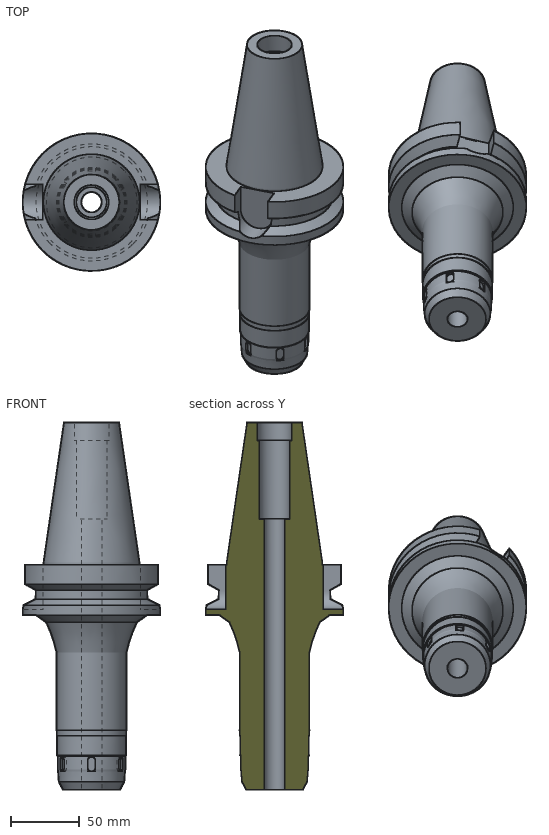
import cadquery as cq
import math


TAPER_TOP = 101.8
GAUGE_RADIUS = 34.925
TAPER_SLOPE = 7 / 48
TAPER_TOP_RADIUS = GAUGE_RADIUS - TAPER_SLOPE * TAPER_TOP

FLANGE_TOP = -1.5
FLANGE_BOTTOM = -38.0
FLANGE_RADIUS = 50.0
GROOVE_FLOOR_RADIUS = 42.5
GROOVE_CENTRE = -23.2
GROOVE_FLOOR_WIDTH = 6.5
GROOVE_SIDE_ANGLE = 30.0

NECK_TOP_RADIUS = 40.5
NECK_SHOULDER_RADIUS = 33.0
NECK_SHOULDER_Z = -43.3
NECK_BOTTOM = -65.2
NECK_ARC_SAG = 0.7

BODY_RADIUS = 25.5
BODY_BOTTOM = -121.5
BAND_RADIUS = 25.4
BAND_BOTTOM = -125.5
COLLAR_RADIUS = 25.2
COLLAR_BOTTOM = -139.7
NUT_RADIUS = 24.7
NUT_STEP_BOTTOM = -140.4
NUT_BAND_BOTTOM = -150.0
NOSE_TOP_RADIUS = 24.4
NOSE_TOP = -151.5
NOSE_CHAMFER_TOP = -158.9
NOSE_CHAMFER_RADIUS = 23.9
NOSE_BOTTOM_RADIUS = 20.7
NOSE_BOTTOM = -165.0

KEYWAY_WIDTH = 25.7
KEYWAY_FLOOR_X = 35.5
KEYWAY_BOTTOM = -33.8

SLOT_COUNT = 6
SLOT_WIDTH = 5.6
SLOT_TOP = -141.0
SLOT_BOTTOM = NOSE_TOP
SLOT_FLOOR_RADIUS = 22.9

COUNTERBORE_RADIUS = 12.5
COUNTERBORE_DEPTH = 13.0
DRAWBAR_BORE_RADIUS = 11.0
DRAWBAR_BORE_DEPTH = 70.0
THROUGH_RADIUS = 7.3


def neck_arc_midpoint():
    """Point on the concave neck arc, offset towards the axis from the middle of its chord."""
    run = NECK_SHOULDER_RADIUS - BODY_RADIUS
    rise = NECK_SHOULDER_Z - NECK_BOTTOM
    chord = math.hypot(run, rise)
    mid_radius = (NECK_SHOULDER_RADIUS + BODY_RADIUS) / 2 - NECK_ARC_SAG * rise / chord
    mid_z = (NECK_SHOULDER_Z + NECK_BOTTOM) / 2 + NECK_ARC_SAG * run / chord
    return mid_radius, mid_z


def make_body():
    """Revolve the solid outer profile about the Z axis."""
    groove_floor_top = GROOVE_CENTRE + GROOVE_FLOOR_WIDTH / 2
    groove_floor_bottom = GROOVE_CENTRE - GROOVE_FLOOR_WIDTH / 2
    groove_depth = FLANGE_RADIUS - GROOVE_FLOOR_RADIUS
    groove_side_height = groove_depth * math.tan(math.radians(GROOVE_SIDE_ANGLE))
    profile = (
        cq.Workplane("XZ")
        .moveTo(0, TAPER_TOP)
        .lineTo(TAPER_TOP_RADIUS, TAPER_TOP)
        .lineTo(GAUGE_RADIUS, 0)
        .lineTo(GAUGE_RADIUS, FLANGE_TOP)
        .lineTo(FLANGE_RADIUS, FLANGE_TOP)
        .lineTo(FLANGE_RADIUS, groove_floor_top + groove_side_height)
        .lineTo(GROOVE_FLOOR_RADIUS, groove_floor_top)
        .lineTo(GROOVE_FLOOR_RADIUS, groove_floor_bottom)
        .lineTo(FLANGE_RADIUS, groove_floor_bottom - groove_side_height)
        .lineTo(FLANGE_RADIUS, FLANGE_BOTTOM)
        .lineTo(NECK_TOP_RADIUS, FLANGE_BOTTOM)
        .lineTo(NECK_SHOULDER_RADIUS, NECK_SHOULDER_Z)
        .threePointArc(neck_arc_midpoint(), (BODY_RADIUS, NECK_BOTTOM))
        .lineTo(BODY_RADIUS, BODY_BOTTOM)
        .lineTo(BAND_RADIUS, BODY_BOTTOM)
        .lineTo(BAND_RADIUS, BAND_BOTTOM)
        .lineTo(COLLAR_RADIUS, BAND_BOTTOM)
        .lineTo(COLLAR_RADIUS, COLLAR_BOTTOM)
        .lineTo(NUT_RADIUS, NUT_STEP_BOTTOM)
        .lineTo(NUT_RADIUS, NUT_BAND_BOTTOM)
        .lineTo(NOSE_TOP_RADIUS, NOSE_TOP)
        .lineTo(NOSE_CHAMFER_RADIUS, NOSE_CHAMFER_TOP)
        .lineTo(NOSE_BOTTOM_RADIUS, NOSE_BOTTOM)
        .lineTo(0, NOSE_BOTTOM)
        .close()
    )
    return profile.revolve(360, (0, 0, 0), (0, 1, 0))


def make_keyway():
    """Cutter for the +X keyway: open at the flange top, with a full-round lower end."""
    half_width = KEYWAY_WIDTH / 2
    round_centre = KEYWAY_BOTTOM + half_width
    return (
        cq.Workplane("YZ", origin=(KEYWAY_FLOOR_X, 0, 0))
        .moveTo(-half_width, 0)
        .lineTo(-half_width, round_centre)
        .threePointArc((0, KEYWAY_BOTTOM), (half_width, round_centre))
        .lineTo(half_width, 0)
        .close()
        .extrude(FLANGE_RADIUS)
    )


def make_spanner_slot():
    """Cutter for the round-ended, flat-floored spanner slot on the +X side of the nut."""
    return (
        cq.Workplane("YZ", origin=(SLOT_FLOOR_RADIUS, 0, (SLOT_TOP + SLOT_BOTTOM) / 2))
        .slot2D(SLOT_TOP - SLOT_BOTTOM, SLOT_WIDTH, 90)
        .extrude(BODY_RADIUS)
    )


def make_bore():
    """Cutter for the stepped axial bore, widest at the taper end."""
    mouth = cq.Workplane("XY", origin=(0, 0, TAPER_TOP))
    through_hole = mouth.circle(THROUGH_RADIUS).extrude(NOSE_BOTTOM - TAPER_TOP)
    drawbar_bore = mouth.circle(DRAWBAR_BORE_RADIUS).extrude(-DRAWBAR_BORE_DEPTH)
    counterbore = mouth.circle(COUNTERBORE_RADIUS).extrude(-COUNTERBORE_DEPTH)
    return through_hole.union(drawbar_bore).union(counterbore)


def around_axis(cutter, angle):
    return cutter.rotate((0, 0, 0), (0, 0, 1), angle)


result = make_body().cut(make_bore())

for side_angle in (0, 180):
    result = result.cut(around_axis(make_keyway(), side_angle))

for index in range(SLOT_COUNT):
    slot_angle = 90 + index * 360 / SLOT_COUNT
    result = result.cut(around_axis(make_spanner_slot(), slot_angle))